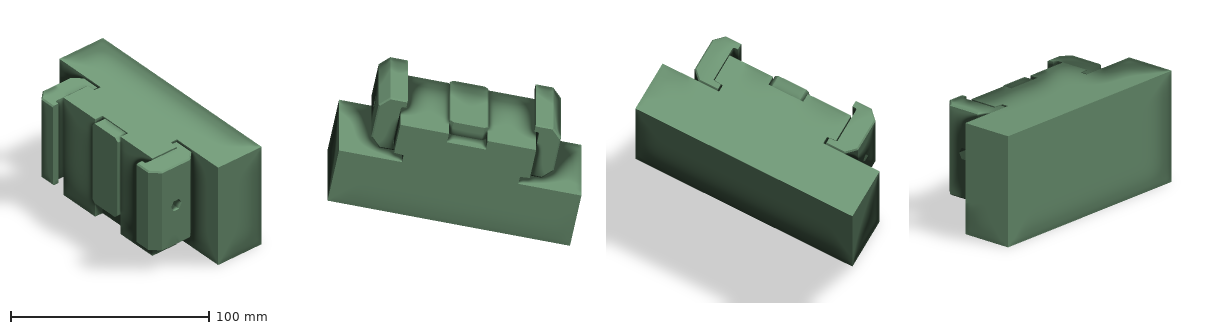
import cadquery as cq
import math


block_length = 125.0
block_height = 60.0
plate_thickness = 28.64
rail_half_width = 35.0
rail_projection = 20.3
neck_half_width = 30.0
neck_depth = 3.95
lip_angle = 5.0
lip_slope = math.tan(math.radians(lip_angle))
lip_outer_depth = neck_depth + (rail_half_width - neck_half_width) * lip_slope

slot_width = 20.0
slot_depth = 4.85

pad_height = 49.0
pad_bottom = 10.3
pad_thickness = 6.9
pad_corner_chamfer = 2.0
pad_side_chamfer = 0.5

clamp_height = 49.0
clamp_bottom = 10.65
clamp_mid_z = clamp_bottom + clamp_height / 2
clamp_outer_x = 47.0
clamp_inner_x = 35.6
clamp_rear_y = -0.5
clamp_front_y = -29.0
clamp_corner_chamfer = 5.0
clamp_edge_chamfer = 0.75
rear_hook_tip_x = 31.2
front_hook_tip_x = 33.0
front_hook_thickness = 3.75
front_hook_fillet = 1.0

screw_diameter = 8.0
screw_y = -14.5
socket_across_flats = 6.0
socket_depth = 8.0


def lip_y(x):
    """Y of the sloping rear face of the rail lip at distance x from the middle."""
    return -neck_depth - (x - neck_half_width) * lip_slope


def make_block():
    half_length = block_length / 2
    half_outline = [
        (0, plate_thickness),
        (half_length, plate_thickness),
        (half_length, 0),
        (neck_half_width, 0),
        (neck_half_width, -neck_depth),
        (rail_half_width, -lip_outer_depth),
        (rail_half_width, -rail_projection),
        (0, -rail_projection),
    ]
    half = cq.Workplane("XY").polyline(half_outline).close().extrude(block_height)
    slot = cq.Workplane("XY").box(slot_width, slot_depth, block_height, centered=(True, False, False))
    return half.union(half.mirror("YZ")).cut(slot.translate((0, -rail_projection, 0)))


def make_pad():
    slot_floor_y = slot_depth - rail_projection
    pad = cq.Workplane("XY").box(slot_width, pad_thickness, pad_height, centered=(True, False, False))
    pad = pad.edges("|Y").chamfer(pad_corner_chamfer)
    pad = pad.faces("<Y").edges("|Z").chamfer(pad_side_chamfer)
    return pad.translate((0, slot_floor_y - pad_thickness, pad_bottom))


def make_clamp():
    """Clamp on the +X side, with its screw and hexagon socket."""
    front_hook_y = clamp_front_y + front_hook_thickness
    outline = [
        (rear_hook_tip_x, clamp_rear_y),
        (clamp_outer_x, clamp_rear_y),
        (clamp_outer_x, clamp_front_y),
        (front_hook_tip_x, clamp_front_y),
        (front_hook_tip_x, front_hook_y),
        (clamp_inner_x, front_hook_y),
        (clamp_inner_x, lip_y(clamp_inner_x)),
        (rear_hook_tip_x, lip_y(rear_hook_tip_x)),
    ]
    clamp = cq.Workplane("XY").polyline(outline).close().extrude(clamp_height)
    clamp = clamp.edges("|Z and >X").chamfer(clamp_corner_chamfer)
    hook_corner = cq.selectors.NearestToPointSelector((clamp_inner_x, front_hook_y, clamp_height / 2))
    clamp = clamp.edges(hook_corner).fillet(front_hook_fillet)
    clamp = chamfer_outer_rims(clamp).translate((0, 0, clamp_bottom))

    screw_length = clamp_inner_x - rail_half_width
    screw = cq.Workplane("YZ", origin=(rail_half_width, screw_y, clamp_mid_z))
    clamp = clamp.union(screw.circle(screw_diameter / 2).extrude(screw_length))

    socket_corner_diameter = socket_across_flats / math.cos(math.pi / 6)
    socket = cq.Workplane("YZ", origin=(clamp_outer_x, screw_y, clamp_mid_z))
    return clamp.cut(socket.polygon(6, socket_corner_diameter).extrude(-socket_depth))


def chamfer_outer_rims(clamp):
    """Bevel the end-face rims of the rear, outer, front and corner faces of a clamp."""
    corner_mid = clamp_corner_chamfer / 2
    rim_points = [
        (clamp_inner_x, clamp_rear_y),
        (clamp_outer_x - corner_mid, clamp_rear_y - corner_mid),
        (clamp_outer_x, screw_y),
        (clamp_outer_x - corner_mid, clamp_front_y + corner_mid),
        (clamp_inner_x, clamp_front_y),
    ]
    rims = [
        clamp.edges(cq.selectors.NearestToPointSelector((x, y, z))).val()
        for x, y in rim_points
        for z in (0, clamp_height)
    ]
    return clamp.newObject(rims).chamfer(clamp_edge_chamfer)


right_clamp = make_clamp()
left_clamp = right_clamp.mirror("YZ")
result = make_block().union(make_pad()).union(right_clamp).union(left_clamp)